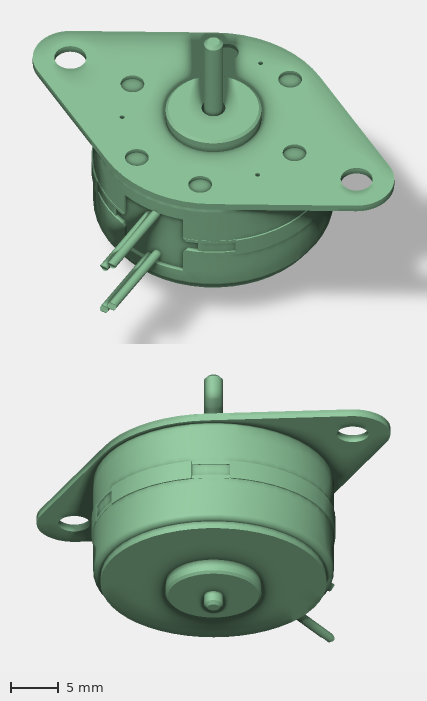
import cadquery as cq
import math

can_radius = 12.6
can_half_height = 5.8
can_fillet = 0.6

band_radius = 12.75
band_half_height = 1.03
window_inner_x = 5.0
window_outer_x = 8.45
window_floor_radius = 12.65
channel_radius = 12.5
channel_half_height = 0.65

panel_radius = 12.15
panel_half_width = 3.55
panel_half_height = 3.75
panel_corner_chamfer = 0.3

overall_length = 42.8
plate_thickness = 0.8
flange_mid_radius = 12.7
ear_radius = 3.95
ear_center_x = overall_length / 2 - ear_radius
mount_hole_radius = 1.65
bottom_disc_radius = 11.8

recess_radius = 1.25
recess_circle_radius = 9.9
recess_depth = 0.5
recess_angles = [0, 67, 113, 180, 247, 293]
pin_hole_radius = 0.25
pin_circle_radius = 9.55
pin_hole_angles = [90, 210, 330]

boss_radius = 5.0
boss_height = 1.55
boss_chamfer = 0.25
shaft_radius = 1.0
shaft_bottom = -9.55
shaft_top = 17.9
shaft_chamfer = 0.35
bore_radius = 1.25

wire_radius = 0.45
wire_end_y = -21.5
wire_embed = 0.43
wire_root_y = wire_embed - panel_radius
wire_offset_x = 0.45
wire_offset_z = 0.43
wire_wave_height = 0.13
upper_pair_z = 2.95
lower_pair_z = -3.13

cutter_margin = 0.43

flange_bottom = can_half_height
flange_top = flange_bottom + plate_thickness
disc_bottom = -can_half_height - plate_thickness


def cylinder(radius, bottom, top):
    return cq.Workplane("XY").workplane(offset=bottom).circle(radius).extrude(top - bottom)


def box_between(x_min, x_max, y_min, y_max, half_height):
    """Box between the given X and Y limits, centred on Z = 0."""
    box = cq.Workplane("XY").box(x_max - x_min, y_max - y_min, 2 * half_height)
    return box.translate(((x_min + x_max) / 2, (y_min + y_max) / 2, 0))


def outside_of(cutter, radius):
    """The part of a cutter that lies outside a cylinder about the Z axis."""
    return cutter.cut(cylinder(radius, -can_half_height, can_half_height))


def make_can():
    can = cylinder(can_radius, -can_half_height, can_half_height)
    can = can.faces("<Z or >Z").edges().fillet(can_fillet)
    return can.union(cylinder(band_radius, -band_half_height, band_half_height))


def cut_windows(can):
    """Shallow windows with a deeper central channel on both sides of the +Y and -Y points."""
    far = band_radius + cutter_margin
    front_floor = box_between(-window_outer_x, window_outer_x, -far, 0, band_half_height)
    front_channel = box_between(-window_outer_x, window_outer_x, -far, 0, channel_half_height)
    can = can.cut(outside_of(front_floor, window_floor_radius))
    can = can.cut(outside_of(front_channel, channel_radius))
    for x_min, x_max in [(-window_outer_x, -window_inner_x), (window_inner_x, window_outer_x)]:
        rear_floor = box_between(x_min, x_max, 0, far, band_half_height)
        rear_channel = box_between(x_min, x_max, 0, far, channel_half_height)
        can = can.cut(outside_of(rear_floor, window_floor_radius))
        can = can.cut(outside_of(rear_channel, channel_radius))
    return can


def cut_connector_panel(can):
    """Cross-shaped recess: a tall panel with a narrow neck to each side, corners chamfered."""
    chamfer_x = panel_half_width + panel_corner_chamfer
    quarter = [
        (window_inner_x, channel_half_height),
        (chamfer_x, channel_half_height),
        (panel_half_width, band_half_height),
        (panel_half_width, panel_half_height),
    ]
    upper = quarter + [(-x, z) for x, z in reversed(quarter)]
    outline = upper + [(x, -z) for x, z in reversed(upper)]
    cutter = cq.Workplane("XZ").polyline(outline).close().extrude(band_radius + cutter_margin)
    return can.cut(outside_of(cutter, panel_radius))


def make_flange():
    """Rhombic plate: a large middle arc and two ear arcs joined by tangent lines."""
    tangent_angle = math.asin((flange_mid_radius - ear_radius) / ear_center_x)
    normal_x = math.sin(tangent_angle)
    normal_y = math.cos(tangent_angle)
    mid_x = flange_mid_radius * normal_x
    mid_y = flange_mid_radius * normal_y
    ear_x = ear_center_x + ear_radius * normal_x
    ear_y = ear_radius * normal_y
    ear_tip_x = ear_center_x + ear_radius
    flange = (
        cq.Workplane("XY").workplane(offset=flange_bottom)
        .moveTo(-mid_x, mid_y)
        .threePointArc((0, flange_mid_radius), (mid_x, mid_y))
        .lineTo(ear_x, ear_y)
        .threePointArc((ear_tip_x, 0), (ear_x, -ear_y))
        .lineTo(mid_x, -mid_y)
        .threePointArc((0, -flange_mid_radius), (-mid_x, -mid_y))
        .lineTo(-ear_x, -ear_y)
        .threePointArc((-ear_tip_x, 0), (-ear_x, ear_y))
        .close()
        .extrude(plate_thickness)
    )
    ear_centers = [(-ear_center_x, 0), (ear_center_x, 0)]
    flange = flange.cut(
        cq.Workplane("XY").workplane(offset=flange_bottom)
        .pushPoints(ear_centers).circle(mount_hole_radius).extrude(plate_thickness)
    )
    flange = flange.cut(flange_recesses(recess_radius, recess_circle_radius, recess_angles))
    return flange.cut(flange_recesses(pin_hole_radius, pin_circle_radius, pin_hole_angles))


def flange_recesses(radius, circle_radius, angles):
    """Cutters for round blind recesses in the flange top, spread round a circle."""
    centers = []
    for angle in angles:
        radians = math.radians(angle)
        centers.append((circle_radius * math.cos(radians), circle_radius * math.sin(radians)))
    top_plane = cq.Workplane("XY").workplane(offset=flange_top)
    return top_plane.pushPoints(centers).circle(radius).extrude(-recess_depth)


def make_bosses():
    boss_top = flange_top + boss_height
    upper = cylinder(boss_radius, flange_top, boss_top).faces(">Z").chamfer(boss_chamfer)
    upper = upper.cut(cylinder(bore_radius, flange_top, boss_top))
    lower = cylinder(boss_radius, disc_bottom - boss_height, disc_bottom)
    return upper.union(lower.faces("<Z").chamfer(boss_chamfer))


def make_shaft():
    shaft = cylinder(shaft_radius, shaft_bottom, shaft_top)
    return shaft.faces("<Z or >Z").chamfer(shaft_chamfer)


def make_wire(x, z, crest_side):
    """One wire along Y; its wavy end bulges out on the crest side (1 up, -1 down)."""
    mean_end_y = wire_end_y + wire_wave_height
    crest_z = z + crest_side * wire_radius
    trough_z = z - crest_side * wire_radius
    wave = [
        (mean_end_y - wire_wave_height, (z + crest_z) / 2),
        (mean_end_y, z),
        (mean_end_y + wire_wave_height, (z + trough_z) / 2),
        (mean_end_y, trough_z),
    ]
    side_profile = (
        cq.Workplane("YZ").workplane(offset=x - wire_radius)
        .moveTo(wire_root_y, crest_z)
        .lineTo(mean_end_y, crest_z)
        .spline(wave, includeCurrent=True)
        .lineTo(wire_root_y, trough_z)
        .close()
        .extrude(2 * wire_radius)
    )
    root_plane = cq.Workplane("XZ").workplane(offset=-wire_root_y)
    rod = root_plane.center(x, z).circle(wire_radius).extrude(wire_root_y - wire_end_y)
    return rod.intersect(side_profile)


motor = cut_connector_panel(cut_windows(make_can()))
motor = motor.union(cylinder(bottom_disc_radius, disc_bottom, -can_half_height))
motor = motor.union(make_flange())
motor = motor.union(make_bosses())
motor = motor.union(make_shaft())
for pair_z, crest_side in [(upper_pair_z, 1), (lower_pair_z, -1)]:
    for side in (-1, 1):
        wire = make_wire(side * wire_offset_x, pair_z + side * wire_offset_z, crest_side)
        motor = motor.union(wire)
result = motor